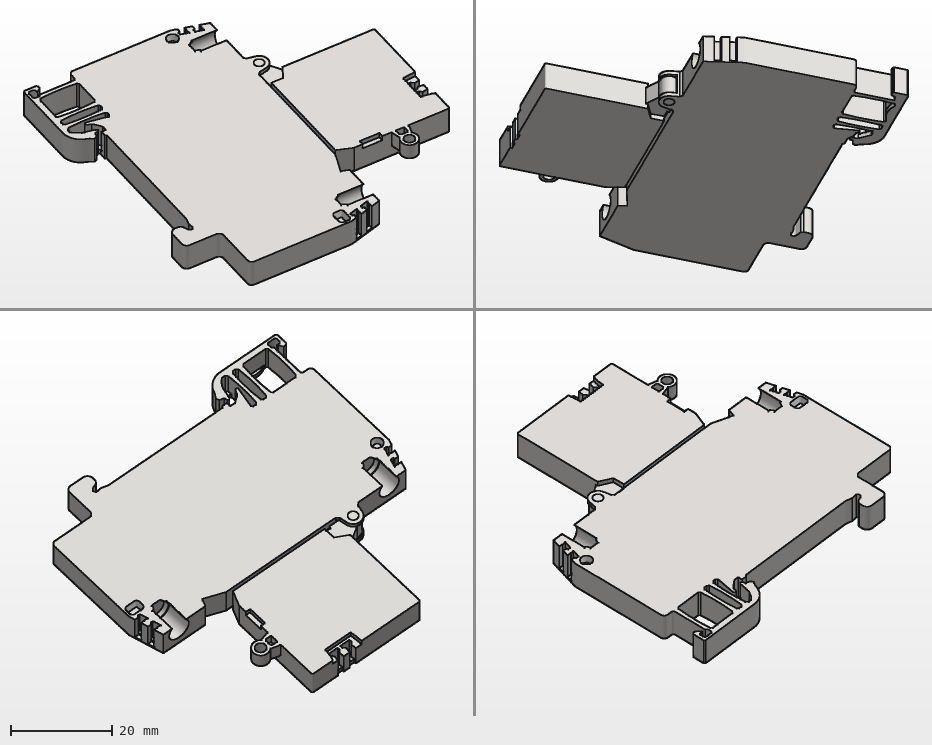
import cadquery as cq
import math

LENGTH = 67.5
HEIGHT = 68.8
THICK = 6.1
MID_X = LENGTH / 2
SKIN = 1.1
INSET_TOP = THICK - SKIN

DECK_Y = 42.25
SHOULDER_Y = 34.4
SHOULDER_IN = 2.3
UNDERSIDE_Y = 10.65
RAIL_Y = 7.0
CORNER_R = 0.95

PIN_X = 17.55
PIN_Y = 44.1
PIN_R = 1.1
EAR_R = 2.05
EAR_HALF_BASE = 2.4
EAR_FLARE = 0.5
KNUCKLE_R = 1.8
KNUCKLE_GAP = 0.15
EAR_SLOT_Y = 43.2
EAR_SLOT_GAP = 0.2

PLUG_LEFT = 21.05
PLUG_RIGHT = 49.1
PLUG_BOTTOM = 42.9
PLUG_CORNER_R = 0.35
HEEL_Y = DECK_Y + 0.2
HEEL_RIGHT = 22.35

CHANNEL_XS = (6.6, 61.15)
SOCKET_Y = 33.45
SOCKET_INSET = 2.3
SOCKET_DEPTH = 1.4

FOOT_LEG_X = 2.55
FOOT_FLOOR_Y = 1.45
HOOK_R = 4.3
STEP_Z = 1.0


def prism(points, z_low, z_high):
    return cq.Workplane("XY").workplane(offset=z_low).polyline(points).close().extrude(z_high - z_low)


def disc(x, y, radius, z_low, z_high):
    return cq.Workplane("XY").workplane(offset=z_low).center(x, y).circle(radius).extrude(z_high - z_low)


def block(x_low, x_high, y_low, y_high, z_low, z_high):
    size = (x_high - x_low, y_high - y_low, z_high - z_low)
    return cq.Workplane("XY").box(*size, centered=False).translate((x_low, y_low, z_low))


def mirrored(shape):
    """The same shape on the other end of the housing."""
    return shape.mirror("YZ", (MID_X, 0, 0))


def housing_plate():
    """Full-thickness plate in the outline of the housing with both rail feet."""
    outline = (
        cq.Workplane("XY")
        .moveTo(0, SHOULDER_Y)
        .lineTo(SHOULDER_IN, DECK_Y)
        .lineTo(48.9, DECK_Y)
        .lineTo(53.65, 40.45)
        .lineTo(54.3, DECK_Y)
        .lineTo(LENGTH - SHOULDER_IN, DECK_Y)
        .lineTo(LENGTH, SHOULDER_Y)
        .lineTo(LENGTH, UNDERSIDE_Y + CORNER_R)
        .radiusArc((LENGTH - CORNER_R, UNDERSIDE_Y), CORNER_R)
        .lineTo(57.6, UNDERSIDE_Y)
        .radiusArc((56.55, 9.6), -1.0)
        .lineTo(56.55, 3.45)
        .radiusArc((55.4, 2.3), 1.2)
        .lineTo(52.15, 2.3)
        .radiusArc((50.8, 3.65), 1.4)
        .lineTo(50.8, 4.55)
        .lineTo(51.1, 5.1)
        .lineTo(52.35, 5.6)
        .threePointArc((52.8, 6.2), (52.4, 6.75))
        .lineTo(51.1, 6.6)
        .lineTo(49.55, RAIL_Y)
        .lineTo(19.95, RAIL_Y)
        .lineTo(19.75, 6.7)
        .lineTo(18.15, 6.7)
        .lineTo(17.1, 6.2)
        .lineTo(16.65, 5.8)
        .lineTo(15.6, 5.7)
        .lineTo(15.2, 5.4)
        .threePointArc((14.85, 5.15), (14.5, 5.5))
        .lineTo(15.4, 10.3)
        .lineTo(15.1, UNDERSIDE_Y)
        .lineTo(14.4, UNDERSIDE_Y)
        .lineTo(14.05, 10.4)
        .threePointArc((13.8, 6.6), (14.0, 2.75))
        .lineTo(14.3, 2.6)
        .lineTo(15.2, 2.6)
        .lineTo(16.25, 3.8)
        .lineTo(17.05, 4.7)
        .lineTo(17.35, 6.05)
        .lineTo(17.7, 6.4)
        .lineTo(18.0, 6.1)
        .lineTo(18.15, 5.45)
        .lineTo(19.2, 5.15)
        .lineTo(19.55, 4.5)
        .lineTo(19.0, 3.65)
        .lineTo(18.45, 2.3)
        .radiusArc((14.7, 0), HOOK_R)
        .lineTo(0.3, 0)
        .lineTo(0, 0.3)
        .lineTo(0, 3.0)
        .lineTo(0.3, 3.3)
        .lineTo(0.95, 3.3)
        .lineTo(1.6, 2.4)
        .lineTo(1.85, 2.2)
        .lineTo(FOOT_LEG_X, 2.2)
        .lineTo(FOOT_LEG_X, 10.2)
        .radiusArc((2.0, UNDERSIDE_Y), -0.55)
        .lineTo(CORNER_R, UNDERSIDE_Y)
        .radiusArc((0, UNDERSIDE_Y + CORNER_R), CORNER_R)
        .close()
    )
    return outline.extrude(THICK)


def hinge_ears():
    """Rounded ears with flared roots, split by a slot for the plug's knuckle."""
    root = EAR_HALF_BASE
    flare = root + EAR_FLARE
    root_y = DECK_Y - 0.7
    shoulder_y = PIN_Y + 0.3
    return (
        cq.Workplane("XY")
        .moveTo(PIN_X - flare, root_y)
        .lineTo(PIN_X - flare, DECK_Y)
        .lineTo(PIN_X - root, DECK_Y + EAR_FLARE)
        .lineTo(PIN_X - EAR_R, shoulder_y)
        .threePointArc((PIN_X, PIN_Y + EAR_R), (PIN_X + EAR_R, shoulder_y))
        .lineTo(PIN_X + root, DECK_Y + EAR_FLARE)
        .lineTo(PIN_X + flare, DECK_Y)
        .lineTo(PIN_X + flare, root_y)
        .close()
        .extrude(THICK)
    )


def hinge_clearance():
    low = SKIN - EAR_SLOT_GAP
    high = INSET_TOP + EAR_SLOT_GAP
    reach = EAR_HALF_BASE + 1.4
    upper = block(PIN_X - reach, PIN_X + reach, EAR_SLOT_Y, PIN_Y + reach, low, high)
    arm_side = block(PIN_X, PIN_X + reach, DECK_Y, PIN_Y, low, high)
    around_knuckle = disc(PIN_X, PIN_Y, KNUCKLE_R + KNUCKLE_GAP, low, high)
    return upper.union(arm_side).union(around_knuckle)


def barrel_window(x_low, x_high, y_low, y_high):
    """Through window with slightly bowed long sides and cut corners."""
    bow = 0.2
    corner = 0.35
    mid_y = (y_low + y_high) / 2
    return (
        cq.Workplane("XY")
        .moveTo(x_low + corner, y_low)
        .lineTo(x_high - corner, y_low)
        .lineTo(x_high, y_low + corner)
        .threePointArc((x_high + bow, mid_y), (x_high, y_high - corner))
        .lineTo(x_high - corner, y_high)
        .lineTo(x_low + corner, y_high)
        .lineTo(x_low, y_high - corner)
        .threePointArc((x_low - bow, mid_y), (x_low, y_low + corner))
        .close()
        .extrude(THICK)
    )


def window_bump():
    """Low arched ledge on the floor of the large foot window."""
    sunk_y = FOOT_FLOOR_Y - 0.35
    return (
        cq.Workplane("XY")
        .moveTo(4.4, sunk_y)
        .lineTo(4.4, FOOT_FLOOR_Y)
        .threePointArc((6.95, 2.1), (9.5, FOOT_FLOOR_Y))
        .lineTo(9.5, sunk_y)
        .close()
        .extrude(STEP_Z)
    )


def curl_pocket():
    """Rounded pocket inside the curled end of the foot."""
    return block(0.75, 2.95, 0.6, 2.2, STEP_Z, THICK).edges("|Z").fillet(0.4)


def hook_pocket():
    """Widens the hook's throat above the low ledge."""
    points = [
        (14.0, 2.75), (14.05, 1.8), (14.45, 1.3), (15.3, 1.3), (15.8, 1.8),
        (16.7, 3.2), (17.05, 4.7), (16.25, 3.8), (15.2, 2.6), (14.3, 2.6),
    ]
    return prism(points, STEP_Z, THICK)


def latch_pocket():
    """Recess behind the latch prong that leaves a thin shelf below it."""
    points = [
        (15.2, 5.4), (15.55, 6.25), (16.2, 6.9), (17.35, 7.7), (18.5, 7.7),
        (18.5, 6.7), (18.15, 6.7), (17.1, 6.2), (16.65, 5.8), (15.6, 5.7),
    ]
    return prism(points, STEP_Z, THICK)


def screw_channel(axis_x):
    """Driver bore from the deck that breaks through the upper face, with a tapered inner end."""
    radius = 2.55
    half_opening = 1.8
    axis_depth = math.sqrt(radius**2 - half_opening**2)
    end_y = 36.25
    end_step = 0.2
    tip_y = 35.2
    return (
        cq.Workplane("XY")
        .workplane(offset=THICK - axis_depth)
        .moveTo(axis_x, DECK_Y)
        .lineTo(axis_x + radius, DECK_Y)
        .lineTo(axis_x + radius, end_y)
        .lineTo(axis_x + radius - end_step, end_y)
        .lineTo(axis_x + axis_depth + end_step, tip_y)
        .lineTo(axis_x, tip_y)
        .close()
        .revolve(360, (axis_x, 0, 0), (axis_x, 1, 0))
    )


def marker_slots():
    """Two T-shaped marker slots: a mouth in the slanted end that opens into a wider pocket."""
    floor_z = 0.4
    pocket_floor_z = 0.8
    mouth_depth = 0.95
    mouth_height = 1.4
    overrun = 0.7
    slope = SHOULDER_IN / (DECK_Y - SHOULDER_Y)
    slots = []
    for top_y in (40.1, 37.15):
        edge_x = (top_y - SHOULDER_Y) * slope
        lean = mouth_height * slope
        mouth = [
            (edge_x - overrun, top_y), (edge_x + mouth_depth, top_y),
            (edge_x + mouth_depth - lean, top_y - mouth_height), (edge_x - overrun - lean, top_y - mouth_height),
        ]
        pocket = [
            (edge_x + 0.8, top_y - 0.15), (edge_x + 1.8, top_y + 0.1),
            (edge_x + 1.25, top_y - 1.8), (edge_x + 0.6, top_y - 1.8),
            (edge_x + 0.5, top_y - 1.4),
        ]
        slots.append(prism(mouth, floor_z, THICK).union(prism(pocket, pocket_floor_z, THICK)))
    return slots


def round_socket():
    """Conical socket near the left end."""
    return (
        cq.Workplane("XY")
        .workplane(offset=THICK)
        .center(SOCKET_INSET, SOCKET_Y)
        .circle(1.3)
        .workplane(offset=-SOCKET_DEPTH)
        .circle(0.8)
        .loft()
    )


def oblong_socket():
    """Tapered oblong socket near the right end."""
    inset = 0.55
    outline = cq.Sketch().rect(3.4, 2.5).vertices().fillet(0.7)
    return (
        cq.Workplane("XY")
        .workplane(offset=THICK)
        .center(LENGTH - SOCKET_INSET, SOCKET_Y)
        .placeSketch(outline)
        .extrude(-SOCKET_DEPTH, taper=math.degrees(math.atan(inset / SOCKET_DEPTH)))
    )


def make_housing():
    body = housing_plate().union(hinge_ears()).cut(hinge_clearance())
    body = body.cut(disc(PIN_X, PIN_Y, PIN_R, 0, THICK))
    body = body.cut(barrel_window(3.65, 10.2, FOOT_FLOOR_Y, 10.6))
    body = body.cut(barrel_window(11.4, 12.9, FOOT_FLOOR_Y, UNDERSIDE_Y))
    body = body.union(window_bump())
    for pocket in (curl_pocket(), hook_pocket(), latch_pocket()):
        body = body.cut(pocket)
    for axis_x in CHANNEL_XS:
        body = body.cut(screw_channel(axis_x))
    for slot in marker_slots():
        body = body.cut(slot).cut(mirrored(slot))
    return body.cut(round_socket()).cut(oblong_socket())


def plug_block():
    points = [
        (PLUG_LEFT, HEIGHT), (PLUG_RIGHT, HEIGHT), (PLUG_RIGHT, 46.45), (47.75, PLUG_BOTTOM),
        (23.95, PLUG_BOTTOM), (23.95, 45.75), (PLUG_LEFT, 47.3),
    ]
    return prism(points, 0, THICK).edges("|Z and >Y").fillet(PLUG_CORNER_R)


def hinge_arm():
    """Inset arm with the knuckle and the pin that turns in the housing's ears."""
    points = [
        (PIN_X, PIN_Y + KNUCKLE_R), (18.15, 46.0), (PLUG_LEFT, 47.8), (24.8, 47.8), (24.8, PLUG_BOTTOM),
        (HEEL_RIGHT, PLUG_BOTTOM), (HEEL_RIGHT, HEEL_Y), (PIN_X + EAR_HALF_BASE, HEEL_Y), (PIN_X, PIN_Y),
    ]
    arm = prism(points, SKIN, INSET_TOP).union(disc(PIN_X, PIN_Y, KNUCKLE_R, SKIN, INSET_TOP))
    return arm.union(disc(PIN_X, PIN_Y, PIN_R, 0, THICK))


def base_rib():
    """Low rib under the plug that nearly fills the gap to the deck."""
    rib_right = 40.95
    side_inset = 1.7
    overlap = 0.35
    return block(HEEL_RIGHT, rib_right, HEEL_Y, PLUG_BOTTOM + overlap, side_inset, THICK - side_inset)


def pull_lug():
    """Ringed lug with a flared neck on the right side of the plug."""
    ring_x = 52.6
    ring_y = 57.2
    ring_r = 1.9
    hole_r = 1.2
    lug_bottom = 2.6
    neck = prism(
        [
            (PLUG_RIGHT - 0.7, ring_y - 1.9), (PLUG_RIGHT + 0.35, ring_y - 1.9), (ring_x - 1.4, ring_y - 1.45),
            (ring_x - 1.4, ring_y + 1.45), (PLUG_RIGHT + 0.35, ring_y + 1.9), (PLUG_RIGHT - 0.7, ring_y + 1.9),
        ],
        lug_bottom,
        THICK,
    )
    lug = neck.union(disc(ring_x, ring_y, ring_r, lug_bottom, THICK))
    lug = lug.cut(disc(ring_x, ring_y, hole_r, lug_bottom, THICK))
    pocket_half = 0.95
    pocket_depth = 2.05
    neck_pocket = block(
        PLUG_RIGHT, 50.7, ring_y - pocket_half, ring_y + pocket_half, THICK - pocket_depth, THICK
    )
    return lug.cut(neck_pocket.edges("|Z and >X").fillet(0.4))


def top_notch():
    """Finger notch in the top edge with two keyed pockets and a nick above each."""
    floor_y = 65.8
    nick_y = 68.4
    notch = prism(
        [(36.3, HEIGHT), (36.4, 67.4), (36.6, floor_y), (43.2, floor_y), (43.35, 67.3), (43.75, HEIGHT)],
        INSET_TOP,
        THICK,
    )
    for pocket_x in (38.6, 41.7):
        pocket = prism(
            [
                (pocket_x - 1.2, 66.4), (pocket_x + 1.2, 66.4), (pocket_x + 1.2, 67.0),
                (pocket_x + 0.6, 67.55), (pocket_x + 0.75, nick_y), (pocket_x - 0.75, nick_y),
                (pocket_x - 0.6, 67.55), (pocket_x - 1.2, 67.0),
            ],
            SKIN,
            THICK,
        )
        nick = block(pocket_x - 0.75, pocket_x + 0.75, nick_y, HEIGHT, 0, THICK)
        notch = notch.union(pocket).union(nick)
    return notch


def side_notch():
    return block(48.0, PLUG_RIGHT, 48.5, 53.05, INSET_TOP, THICK)


def make_plug():
    body = plug_block().union(hinge_arm()).union(base_rib()).union(pull_lug())
    return body.cut(top_notch()).cut(side_notch())


housing = make_housing()
plug = make_plug()
result = cq.Compound.makeCompound([housing.val(), plug.val()])